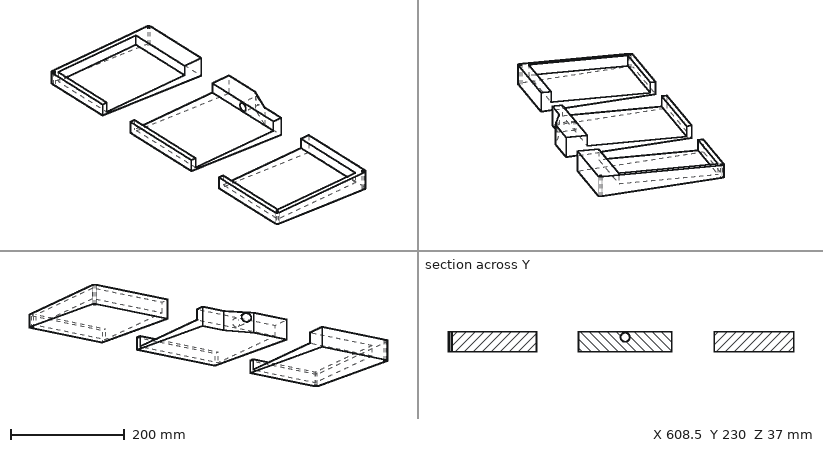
import cadquery as cq

TOTAL_LENGTH = 608.5
FULL_DEPTH = 230.0
SHORT_DEPTH = 209.5
BACK_HEIGHT = 37.0
FRONT_HEIGHT = 23.0

WALL = 10.0
RIGHT_WALL = 9.0
RECESS_BACK = 191.0
RECESS_DEPTH = 19.5

LEFT_WIDTH = 140.5
MIDDLE_WIDTH = 164.5
RIGHT_WIDTH = 156.0
MIDDLE_START = 215.0
RIGHT_START = TOTAL_LENGTH - RIGHT_WIDTH

SLANT_START = 285.0
SLANT_END = 334.0

CORNER_RADIUS = 5.0
CORNER_HOLE_DIAMETER = 3.4
CORNER_HOLE_INSET = CORNER_RADIUS
CABLE_HOLE_DIAMETER = 16.0


def wedge(x_start, width):
    """Block with a flat top and an underside that falls toward the back."""
    return (
        cq.Workplane("YZ", origin=(x_start, 0, 0))
        .polyline([(0, 0), (FULL_DEPTH, 0), (FULL_DEPTH, -BACK_HEIGHT), (0, -FRONT_HEIGHT)])
        .close()
        .extrude(width)
    )


def recess(x_start, x_end):
    """Flat-floored recess between the front lip and the rear block."""
    return (
        cq.Workplane("XY", origin=(x_start, WALL, 0))
        .rect(x_end - x_start, RECESS_BACK - WALL, centered=False)
        .extrude(-RECESS_DEPTH)
    )


def corner_holes(x, depth):
    """Vertical through holes at the front and rear corners of an end wall."""
    return (
        cq.Workplane("XY")
        .pushPoints([(x, CORNER_HOLE_INSET), (x, depth - CORNER_HOLE_INSET)])
        .circle(CORNER_HOLE_DIAMETER / 2)
        .extrude(-BACK_HEIGHT)
    )


def make_left_section():
    """Full-depth end section, closed on its left side."""
    body = wedge(0, LEFT_WIDTH).edges("|Z and <X").fillet(CORNER_RADIUS)
    return body.cut(recess(WALL, LEFT_WIDTH)).cut(corner_holes(CORNER_HOLE_INSET, FULL_DEPTH))


def make_middle_section():
    """Section open at both ends, stepping from full to short depth."""
    middle_end = MIDDLE_START + MIDDLE_WIDTH
    rear_step = (
        cq.Workplane("XY")
        .polyline([
            (SLANT_START, FULL_DEPTH),
            (SLANT_END, SHORT_DEPTH),
            (middle_end, SHORT_DEPTH),
            (middle_end, FULL_DEPTH),
        ])
        .close()
        .extrude(-BACK_HEIGHT)
    )
    hole_x = MIDDLE_START + MIDDLE_WIDTH / 2
    cable_hole = (
        cq.Workplane("XZ", origin=(hole_x, FULL_DEPTH, -RECESS_DEPTH / 2))
        .circle(CABLE_HOLE_DIAMETER / 2)
        .extrude(FULL_DEPTH - RECESS_BACK)
    )
    body = wedge(MIDDLE_START, MIDDLE_WIDTH).cut(recess(MIDDLE_START, middle_end))
    return body.cut(rear_step).cut(cable_hole)


def make_right_section():
    """Short-depth end section, closed on its right side."""
    rear_trim = (
        cq.Workplane("XY", origin=(RIGHT_START, SHORT_DEPTH, 0))
        .rect(RIGHT_WIDTH, FULL_DEPTH - SHORT_DEPTH, centered=False)
        .extrude(-BACK_HEIGHT)
    )
    body = wedge(RIGHT_START, RIGHT_WIDTH).cut(rear_trim)
    body = body.edges("|Z and >X").fillet(CORNER_RADIUS)
    body = body.cut(recess(RIGHT_START, TOTAL_LENGTH - RIGHT_WALL))
    return body.cut(corner_holes(TOTAL_LENGTH - CORNER_HOLE_INSET, SHORT_DEPTH))


left_section = make_left_section()
middle_section = make_middle_section()
right_section = make_right_section()

result = cq.Compound.makeCompound([
    left_section.val(),
    middle_section.val(),
    right_section.val(),
])